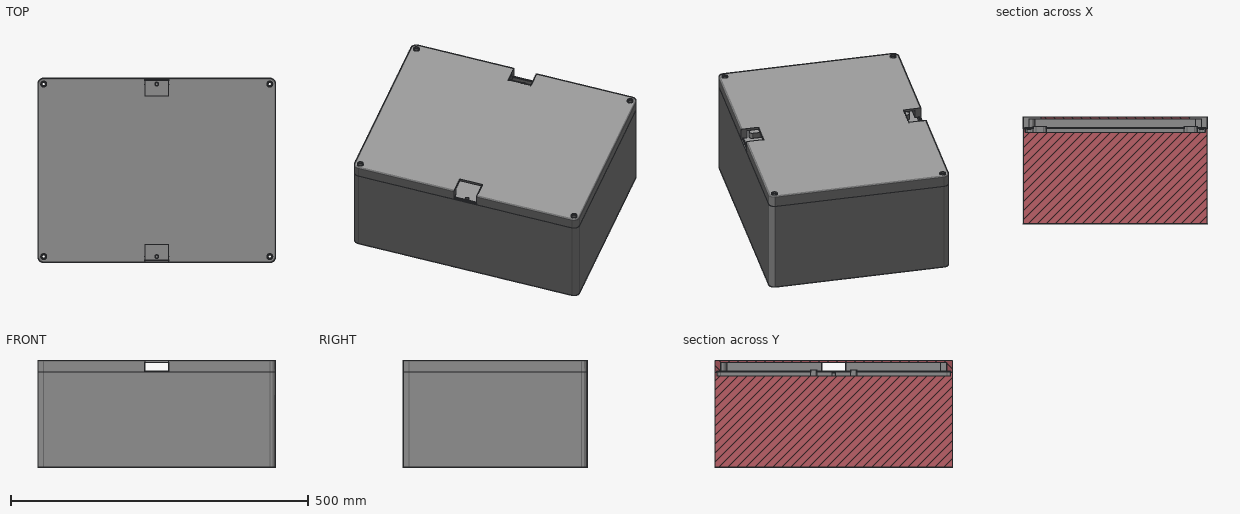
import cadquery as cq
import math

LENGTH = 400.0
WIDTH = 310.0
HEIGHT = 180.0
CORNER_RADIUS = 10.0

LID_HEIGHT = 20.0
RIM_HEIGHT = HEIGHT - LID_HEIGHT
RIM_WIDTH = 2.5
RIDGE_HEIGHT = 2.0
RIDGE_WIDTH = 1.5
RIDGE_SLOPE_RUN = 0.6
FLOOR_DEPTH = 6.0
FLOOR_HEIGHT = RIM_HEIGHT - FLOOR_DEPTH

LID_WALL = 10.5
LID_PLATE = 4.0
LID_EDGE_RADIUS = 1.5
NOTCH_LENGTH = 40.0
NOTCH_DEPTH = 30.0

SCREW_INSET = CORNER_RADIUS
SCREW_DIAMETER = 5.5
CLEARANCE_DIAMETER = 7.5
HEAD_DIAMETER = 10.0
HEAD_DEPTH = 3.0
BOSS_DIAMETER = 2 * LID_WALL

TUBE_DIAMETER = 6.5
TUBE_BORE = 5.0
TUBE_HEIGHT = 5.0

BLOCK_HEIGHT = 10.0
BLOCK_THICKNESS = 10.5
BLOCK_LENGTH = 22.5
BLOCK_GAP = 8.5
BLOCK_INSET = 28.0
BLOCK_X = NOTCH_LENGTH / 2 + BLOCK_GAP + BLOCK_THICKNESS / 2

SIDES = (-1, 1)


def mirrored_points(x, y):
    """The four points at +-x, +-y."""
    return [(side_x * x, side_y * y) for side_x in SIDES for side_y in SIDES]


SCREW_POINTS = mirrored_points(LENGTH / 2 - SCREW_INSET, WIDTH / 2 - SCREW_INSET)
BLOCK_POINTS = mirrored_points(BLOCK_X, WIDTH / 2 - BLOCK_INSET)
TUBE_POINTS = [(0, side * (WIDTH / 2 - SCREW_INSET)) for side in SIDES]


def rounded_block(inset, bottom, top, taper=0):
    """Block set in from the outer sides; corners follow the outer ones, or are square if set in further."""
    outline = cq.Sketch().rect(LENGTH - 2 * inset, WIDTH - 2 * inset)
    if inset < CORNER_RADIUS:
        outline = outline.vertices().fillet(CORNER_RADIUS - inset)
    plane = cq.Workplane("XY").workplane(offset=bottom)
    return plane.placeSketch(outline).extrude(top - bottom, taper=taper)


def cylinders(points, diameter, bottom, top):
    """Upright cylinders at the given points."""
    plane = cq.Workplane("XY").workplane(offset=bottom)
    return plane.pushPoints(points).circle(diameter / 2).extrude(top - bottom)


def make_ridge():
    """Solid area inside the rim, as high as the ridge and with its sloped outer side."""
    slope = math.degrees(math.atan(RIDGE_SLOPE_RUN / RIDGE_HEIGHT))
    return rounded_block(RIM_WIDTH, RIM_HEIGHT, RIM_HEIGHT + RIDGE_HEIGHT, taper=slope)


def make_box():
    """Box with a ridge, a sunken floor, tubes and blocks on the floor, and corner screw holes."""
    recess = rounded_block(RIM_WIDTH + RIDGE_WIDTH, FLOOR_HEIGHT, HEIGHT)
    body = rounded_block(0, 0, RIM_HEIGHT).union(make_ridge()).cut(recess)
    blocks = cq.Workplane("XY").workplane(offset=FLOOR_HEIGHT).pushPoints(BLOCK_POINTS)
    blocks = blocks.slot2D(BLOCK_LENGTH, BLOCK_THICKNESS, 90).extrude(BLOCK_HEIGHT)
    tubes = cylinders(TUBE_POINTS, TUBE_DIAMETER, FLOOR_HEIGHT, FLOOR_HEIGHT + TUBE_HEIGHT)
    bores = cylinders(TUBE_POINTS, TUBE_BORE, FLOOR_HEIGHT, FLOOR_HEIGHT + TUBE_HEIGHT)
    screw_holes = cylinders(SCREW_POINTS, SCREW_DIAMETER, 0, FLOOR_HEIGHT)
    return body.union(blocks).union(tubes.cut(bores)).cut(screw_holes)


def make_lid():
    """Hollow lid, recessed below to fit over the ridge, with corner screw bosses and two open notches."""
    lid = rounded_block(0, RIM_HEIGHT, HEIGHT).faces(">Z").edges().fillet(LID_EDGE_RADIUS)
    bosses = cylinders(SCREW_POINTS, BOSS_DIAMETER, RIM_HEIGHT, HEIGHT)
    hollow = rounded_block(LID_WALL, RIM_HEIGHT, HEIGHT - LID_PLATE).cut(bosses)
    lid = lid.cut(hollow).cut(make_ridge())
    lid = lid.cut(cylinders(SCREW_POINTS, CLEARANCE_DIAMETER, RIM_HEIGHT, HEIGHT))
    lid = lid.cut(cylinders(SCREW_POINTS, HEAD_DIAMETER, HEIGHT - HEAD_DEPTH, HEIGHT))
    notches = cq.Workplane("XY").workplane(offset=RIM_HEIGHT)
    notches = notches.pushPoints([(0, side * WIDTH / 2) for side in SIDES])
    notches = notches.rect(NOTCH_LENGTH, 2 * NOTCH_DEPTH).extrude(LID_HEIGHT)
    return lid.cut(notches)


box = make_box()
lid = make_lid()

result = cq.Compound.makeCompound([box.val(), lid.val()])